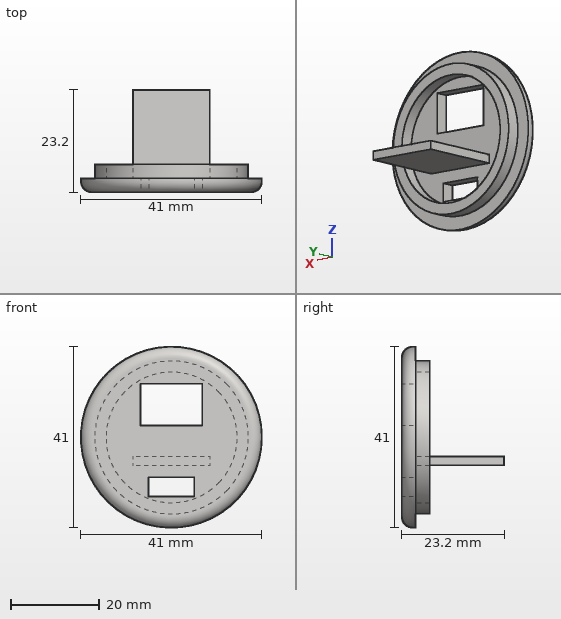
import cadquery as cq

plate_diameter = 41.01
plate_thickness = 3.175
front_edge_radius = 2.54

collar_outer_diameter = 34.7
collar_wall = 2.54
collar_depth = 3.175

overall_depth = 23.18
tongue_width = 17.4
tongue_thickness = 2.0
tongue_center_z = -5.37

window_width = 13.95
window_height = 9.4
window_center_z = 7.35

slot_width = 10.25
slot_height = 4.3
slot_center_z = -11.23


def block(width, height, center_z, start_y, end_y):
    """Rectangular block centered on X, running along Y from start_y to end_y."""
    depth = end_y - start_y
    center = (0, start_y + depth / 2, center_z)
    return cq.Workplane("XY").box(width, depth, height).translate(center)


def disc(diameter, start_y, depth):
    """Round disc on the Y axis, running from start_y toward +Y."""
    plane = cq.Workplane("XZ").workplane(offset=-start_y)
    return plane.circle(diameter / 2).extrude(-depth)


def face_plate():
    plate = disc(plate_diameter, 0, plate_thickness)
    return plate.faces("<Y").edges().fillet(front_edge_radius)


def collar():
    inner_diameter = collar_outer_diameter - 2 * collar_wall
    outer = disc(collar_outer_diameter, plate_thickness, collar_depth)
    return outer.cut(disc(inner_diameter, plate_thickness, collar_depth))


def tongue():
    return block(tongue_width, tongue_thickness, tongue_center_z, plate_thickness, overall_depth)


def plate_opening(width, height, center_z):
    return block(width, height, center_z, 0, plate_thickness)


result = (
    face_plate()
    .union(collar())
    .union(tongue())
    .cut(plate_opening(window_width, window_height, window_center_z))
    .cut(plate_opening(slot_width, slot_height, slot_center_z))
)